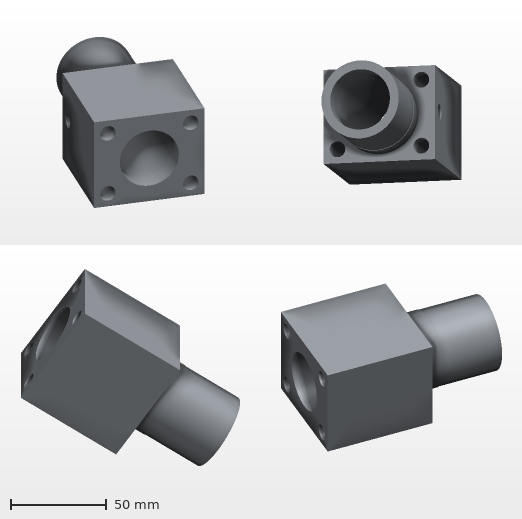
import cadquery as cq

total_length = 104.0
block_length = 60.0
block_width = 60.0
block_height = 50.0

collar_length = 10.0
collar_diameter = 42.0
spigot_diameter = 41.5
bore_diameter = 32.0

mount_hole_diameter = 8.4
mount_spacing_y = 45.0
mount_spacing_z = 35.0

port_diameter = 4.0
port_mouth_diameter = 8.0
port_mouth_depth = 8.0
port_cone_depth = 2.0
port_from_face = 10.0
port_z = 2.0

spigot_length = total_length - block_length


def cylinder_x(diameter, start_x, length):
    """Cylinder on the bore axis, running from start_x in the +X direction."""
    return cq.Workplane("YZ", origin=(start_x, 0, 0)).circle(diameter / 2).extrude(length)


block = cq.Workplane("XY").box(block_length, block_width, block_height, centered=(False, True, True))

spigot = cylinder_x(spigot_diameter, -spigot_length, spigot_length)
collar = cylinder_x(collar_diameter, -collar_length, collar_length)
bore = cylinder_x(bore_diameter, -spigot_length, total_length)

mount_holes = (
    cq.Workplane("YZ")
    .rect(mount_spacing_y, mount_spacing_z, forConstruction=True)
    .vertices()
    .circle(mount_hole_diameter / 2)
    .extrude(block_length)
)


def make_port():
    """Port revolved about its own axis: wide mouth, conical floor, narrow channel to the bore axis."""
    mouth_radius = port_mouth_diameter / 2
    channel_radius = port_diameter / 2
    channel_end = block_width / 2
    return (
        cq.Workplane("XY", origin=(port_from_face, -block_width / 2, port_z))
        .lineTo(mouth_radius, 0)
        .lineTo(mouth_radius, port_mouth_depth)
        .lineTo(channel_radius, port_mouth_depth + port_cone_depth)
        .lineTo(channel_radius, channel_end)
        .lineTo(0, channel_end)
        .close()
        .revolve(360, (0, 0), (0, 1))
    )


result = block.union(spigot).union(collar).cut(bore).cut(mount_holes).cut(make_port())